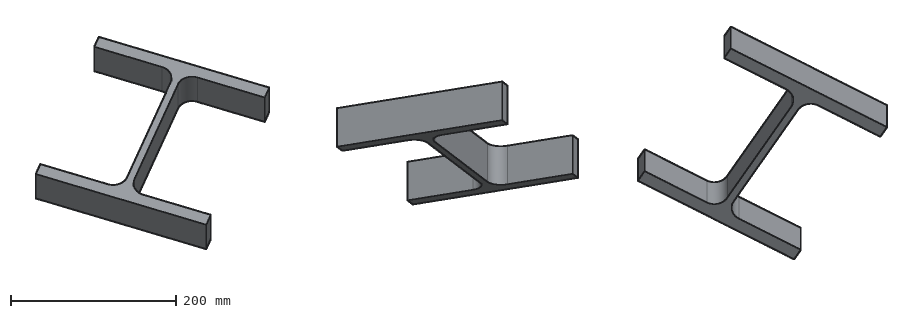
import cadquery as cq

flange_width = 220.0
section_depth = 220.0
length = 50.0
flange_thickness = 16.0
web_thickness = 9.5
root_radius = 18.0

flange_offset = (section_depth - flange_thickness) / 2


def make_flange(side):
    """Flange plate on the +Y (side=1) or -Y (side=-1) edge of the web."""
    return (
        cq.Workplane("XY")
        .center(0, side * flange_offset)
        .rect(flange_width, flange_thickness)
        .extrude(length)
    )


beam = cq.Workplane("XY").rect(web_thickness, 2 * flange_offset).extrude(length)
for side in (1, -1):
    beam = beam.union(make_flange(side))

root_edges = cq.selectors.BoxSelector(
    (-web_thickness, -section_depth, 0),
    (web_thickness, section_depth, length),
)
result = beam.edges("|Z").edges(root_edges).fillet(root_radius)